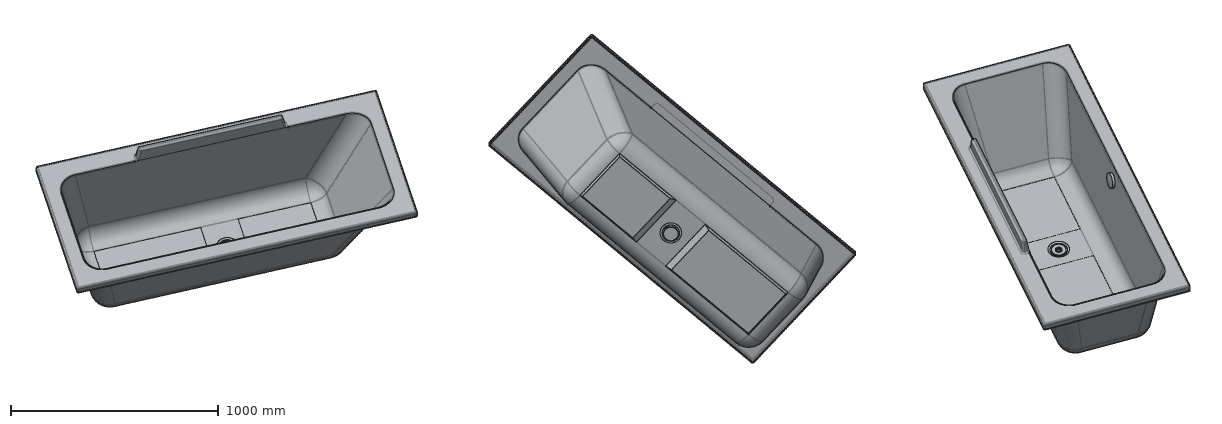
import cadquery as cq
import math

RIM_WIDTH = 752.0
RIM_LENGTH = 1700.0
RIM_HEIGHT = 37.0
RIM_ROUND = 9.0

MOUTH_WIDTH = 570.0
MOUTH_FOOT_Y = -770.0
MOUTH_HEAD_Y = 772.0
BASIN_X = 10.0
BASIN_DEPTH = 463.0
SIDE_LEAN = 7.6
FOOT_LEAN = 8.0
HEAD_LEAN = 29.6
BASIN_ROUND = 90.0
WALL = 5.0

GRIP_HEIGHT = 71.0
GRIP_LENGTH = 748.0
GRIP_END_LEAN = 12.0
GRIP_OUTER_X = -310.0
GRIP_ROUND = 10.0
GRIP_ROOT = 25.0

PAD_HEIGHT = 14.0
PAD_INSET = 9.0
PAD_GAP = 248.0
PAD_GAP_TOP = 187.0

SINK_DIAMETER = 104.0
DRAIN_TOP_DIAMETER = 83.0
DRAIN_BOTTOM_DIAMETER = 71.0
SINK_DEPTH = 3.0
PLUG_DIAMETER = 71.0
PLUG_THICKNESS = 9.0
PLUG_STEPS = [(32.0, 2.0), (24.0, 3.0), (14.5, 5.0)]

KNOB_DIAMETER = 77.0
KNOB_RIM_THICKNESS = 14.0
KNOB_THICKNESS = 17.0
KNOB_Z = -78.0

HAIR = 0.2

side_slope = math.tan(math.radians(SIDE_LEAN))
foot_slope = math.tan(math.radians(FOOT_LEAN))
head_slope = math.tan(math.radians(HEAD_LEAN))
floor_z = -BASIN_DEPTH
underside_z = floor_z - WALL
base_z = underside_z - PAD_HEIGHT
drain_top_z = floor_z - SINK_DEPTH


def wall_shift(lean, offset):
    """Horizontal shift of a leaning wall moved outwards by a normal offset."""
    return offset / math.cos(math.radians(lean))


def round_run(lean):
    """Floor width taken up by the rounding under a leaning wall."""
    return BASIN_ROUND * math.tan(math.radians(90 - lean) / 2)


def basin_section(z, offset):
    """Sharp-cornered rectangle of the basin at height z, as x0, x1, y0, y1."""
    half_width = MOUTH_WIDTH / 2 + z * side_slope + wall_shift(SIDE_LEAN, offset)
    foot_y = MOUTH_FOOT_Y - z * foot_slope - wall_shift(FOOT_LEAN, offset)
    head_y = MOUTH_HEAD_Y + z * head_slope + wall_shift(HEAD_LEAN, offset)
    return BASIN_X - half_width, BASIN_X + half_width, foot_y, head_y


def wedge_block(bottom, top, bottom_z, top_z):
    """Flat-sided block between two rectangles, each given as x0, x1, y0, y1."""
    across = (
        cq.Workplane("XZ")
        .polyline([(bottom[0], bottom_z), (bottom[1], bottom_z), (top[1], top_z), (top[0], top_z)])
        .close()
        .extrude(RIM_LENGTH, both=True)
    )
    along = (
        cq.Workplane("YZ")
        .polyline([(bottom[2], bottom_z), (bottom[3], bottom_z), (top[3], top_z), (top[2], top_z)])
        .close()
        .extrude(RIM_LENGTH, both=True)
    )
    return across.intersect(along)


def basin_solid(offset):
    """Filled basin with its walls and floor moved outwards by the offset."""
    bottom_z = floor_z - offset
    block = wedge_block(basin_section(bottom_z, offset), basin_section(0, offset), bottom_z, 0)
    return block.edges("not >Z").fillet(BASIN_ROUND + offset)


def make_grip():
    """Upright grip with a flared foot, cut flush with the -X basin wall."""
    wall_x = basin_section(0, 0)[0]
    lean_x = GRIP_HEIGHT * side_slope
    half = GRIP_LENGTH / 2
    half_top = half - GRIP_HEIGHT * math.tan(math.radians(GRIP_END_LEAN))
    foot = (GRIP_OUTER_X, wall_x, -half, half)
    top = (GRIP_OUTER_X, wall_x - lean_x, -half_top, half_top)
    plate = wedge_block(foot, top, 0, GRIP_HEIGHT).edges("not <Z").fillet(GRIP_ROUND)

    spread = RIM_ROUND + HAIR
    root = (
        cq.Workplane("XY", origin=((GRIP_OUTER_X + wall_x) / 2, 0, -GRIP_ROOT))
        .rect(wall_x - GRIP_OUTER_X + 2 * spread, GRIP_LENGTH + 2 * spread)
        .extrude(GRIP_ROOT)
    )
    foot_zone = cq.selectors.BoxSelector(
        (GRIP_OUTER_X - HAIR, -half - HAIR, -HAIR), (wall_x + HAIR, half + HAIR, HAIR), boundingbox=True
    )
    grip = root.union(plate).edges(foot_zone).fillet(RIM_ROUND)

    over_basin = (
        cq.Workplane("XZ")
        .moveTo(wall_x + GRIP_ROOT * side_slope, -GRIP_ROOT)
        .lineTo(wall_x - lean_x, GRIP_HEIGHT)
        .lineTo(0, GRIP_HEIGHT)
        .lineTo(0, -GRIP_ROOT)
        .close()
        .extrude(RIM_LENGTH / 2, both=True)
    )
    return grip.cut(over_basin)


def rim_hollow():
    """Hollow under the rim, around the outside of the basin."""
    hollow = (
        cq.Workplane("XY", origin=(0, 0, -RIM_HEIGHT))
        .rect(RIM_WIDTH - 2 * WALL, RIM_LENGTH - 2 * WALL)
        .extrude(RIM_HEIGHT - WALL)
        .edges("not <Z")
        .fillet(RIM_ROUND - WALL)
    )
    return hollow.cut(basin_solid(WALL))


def drain_opening():
    """Conical sink in the basin floor, with a round hole for the drain cup below it."""
    return (
        cq.Workplane("XZ")
        .moveTo(0, underside_z)
        .lineTo(DRAIN_TOP_DIAMETER / 2, underside_z)
        .lineTo(DRAIN_TOP_DIAMETER / 2, drain_top_z)
        .lineTo(SINK_DIAMETER / 2, floor_z)
        .lineTo(0, floor_z)
        .close()
        .revolve(360, (0, 0, 0), (0, 1, 0))
        .translate((BASIN_X, 0, 0))
    )


def make_tub():
    """Thin-walled tub with its rim, the grip and the drain opening."""
    rim = (
        cq.Workplane("XY")
        .box(RIM_WIDTH, RIM_LENGTH, RIM_HEIGHT)
        .translate((0, 0, -RIM_HEIGHT / 2))
        .edges("not <Z")
        .fillet(RIM_ROUND)
    )
    tub = rim.union(basin_solid(WALL)).cut(basin_solid(0))
    mouth_zone = cq.selectors.BoxSelector(
        (-RIM_WIDTH / 2 + 2 * RIM_ROUND, -RIM_LENGTH / 2 + 2 * RIM_ROUND, -HAIR),
        (RIM_WIDTH / 2 - 2 * RIM_ROUND, RIM_LENGTH / 2 - 2 * RIM_ROUND, HAIR),
        boundingbox=True,
    )
    tub = tub.edges(mouth_zone).fillet(RIM_ROUND)
    tub = tub.union(make_grip()).cut(rim_hollow())
    return tub.cut(drain_opening())


def make_pad(side):
    """Tapered pad under the flat floor, from the slanted gap at Y = 0 to the end on the given side."""
    x0, x1, y0, y1 = basin_section(floor_z, 0)
    flat_x0 = x0 + round_run(SIDE_LEAN)
    flat_x1 = x1 - round_run(SIDE_LEAN)
    flat_y0 = y0 + round_run(FOOT_LEAN)
    flat_y1 = y1 - round_run(HEAD_LEAN)
    top = (flat_x0, flat_x1, flat_y0, flat_y1)
    bottom = (flat_x0 + PAD_INSET, flat_x1 - PAD_INSET, flat_y0 + PAD_INSET, flat_y1 - PAD_INSET)
    plate = wedge_block(bottom, top, base_z, underside_z)
    end_y = side * RIM_LENGTH / 2
    profile = [
        (end_y, base_z),
        (side * PAD_GAP / 2, base_z),
        (side * PAD_GAP_TOP / 2, underside_z),
        (end_y, underside_z),
    ]
    half = cq.Workplane("YZ").polyline(profile).close().extrude(RIM_WIDTH / 2, both=True)
    return plate.intersect(half)


def plug_blank():
    """Plain plug disc, which is also the shape of its seat in the drain cup."""
    return (
        cq.Workplane("XY", origin=(BASIN_X, 0, drain_top_z - PLUG_THICKNESS))
        .circle(PLUG_DIAMETER / 2)
        .extrude(PLUG_THICKNESS)
    )


def make_drain():
    """Drain cup filling the hole and tapering below the floor, with a round seat for the plug."""
    cup = (
        cq.Workplane("XZ")
        .moveTo(0, base_z)
        .lineTo(DRAIN_BOTTOM_DIAMETER / 2, base_z)
        .lineTo(DRAIN_TOP_DIAMETER / 2, underside_z)
        .lineTo(DRAIN_TOP_DIAMETER / 2, drain_top_z)
        .lineTo(0, drain_top_z)
        .close()
        .revolve(360, (0, 0, 0), (0, 1, 0))
        .translate((BASIN_X, 0, 0))
    )
    return cup.cut(plug_blank())


def make_plug():
    """Plug disc with a stepped dimple in its top."""
    plug = plug_blank()
    for diameter, depth in PLUG_STEPS:
        step_floor = cq.Workplane("XY", origin=(BASIN_X, 0, drain_top_z - depth))
        plug = plug.cut(step_floor.circle(diameter / 2).extrude(depth))
    return plug


def make_knob():
    """Round overflow knob with a domed face, standing square on the leaning +X wall."""
    lean = math.radians(SIDE_LEAN)
    wall_x = basin_section(KNOB_Z, 0)[1]
    wall_plane = cq.Plane(
        origin=(wall_x, 0, KNOB_Z), xDir=(0, 1, 0), normal=(-math.cos(lean), 0, math.sin(lean))
    )
    radius = KNOB_DIAMETER / 2
    dome_rise = KNOB_THICKNESS - KNOB_RIM_THICKNESS
    dome_radius = (radius ** 2 + dome_rise ** 2) / (2 * dome_rise)
    dome = cq.Workplane(wall_plane).workplane(offset=KNOB_THICKNESS - dome_radius).sphere(dome_radius)
    return cq.Workplane(wall_plane).circle(radius).extrude(KNOB_THICKNESS).intersect(dome)


tub = make_tub()
pads = [make_pad(side) for side in (-1, 1)]
drain = make_drain()
plug = make_plug()
knob = make_knob()

result = cq.Compound.makeCompound([
    tub.val(),
    *[pad.val() for pad in pads],
    drain.val(),
    plug.val(),
    knob.val(),
])